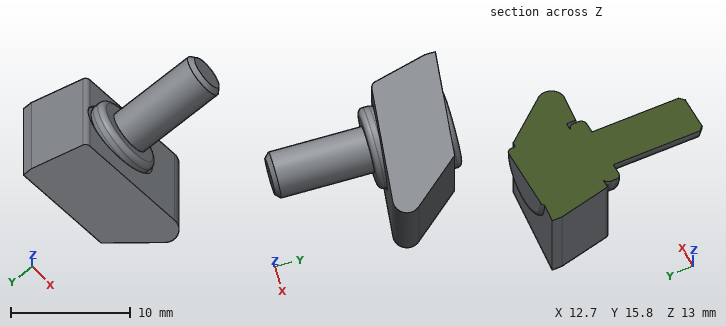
import cadquery as cq
import math


block_height = 13.0
slant_angle = 5.5
left_angle = 13.5
right_angle = 40.0
left_x = -5.1
back_y = 7.3
left_flat_length = 0.9
right_shoulder_x = 3.9
front_face_y = 1.0
heel_radius = 0.5
nose_radius = 1.2

pin_diameter = 4.0
pin_length = 8.5
pin_chamfer = 0.42
collar_diameter = 7.0
collar_thickness = 1.5
head_diameter = 6.9
edge_radius = 0.5

recess_diameter = 7.4

slant = math.tan(math.radians(slant_angle))


def front_face_corner(start, lean_angle):
    """Where a wall leaving start, leaning from -Y towards +X, meets the front face."""
    lean = math.tan(math.radians(lean_angle))
    start_x, start_y = start
    drop = (start_y - front_face_y + slant * start_x) / (1 - slant * lean)
    return (start_x + lean * drop, start_y - drop)


def cylinder_along_y(diameter, start_y, end_y):
    """Solid cylinder on the pin axis between two Y positions."""
    plane = cq.Workplane("XZ", origin=(0, start_y, 0))
    return plane.circle(diameter / 2).extrude(start_y - end_y)


def make_block():
    back_left = (left_x, back_y)
    left_bend = (left_x, back_y - left_flat_length)
    heel = front_face_corner(left_bend, left_angle)
    shoulder = (right_shoulder_x, back_y - slant * (right_shoulder_x - left_x))
    nose = front_face_corner(shoulder, right_angle)
    block = (
        cq.Workplane("XY", origin=(0, 0, -block_height / 2))
        .polyline([back_left, left_bend, heel, nose, shoulder])
        .close()
        .extrude(block_height)
    )
    for corner, radius in ((heel, heel_radius), (nose, nose_radius)):
        nearest = cq.selectors.NearestToPointSelector((*corner, 0))
        block = block.edges(nearest).fillet(radius)
    return block


def make_recess():
    return cylinder_along_y(recess_diameter, 0, collar_thickness)


def make_collar():
    return cylinder_along_y(collar_diameter, 0, collar_thickness).edges().fillet(edge_radius)


def make_head():
    head = cylinder_along_y(head_diameter, collar_thickness, back_y)
    return head.faces(">Y").edges().fillet(edge_radius)


def make_pin():
    pin = cylinder_along_y(pin_diameter, -pin_length, collar_thickness)
    return pin.faces("<Y").edges().chamfer(pin_chamfer)


result = (
    make_block()
    .cut(make_recess())
    .union(make_head())
    .union(make_collar())
    .union(make_pin())
)